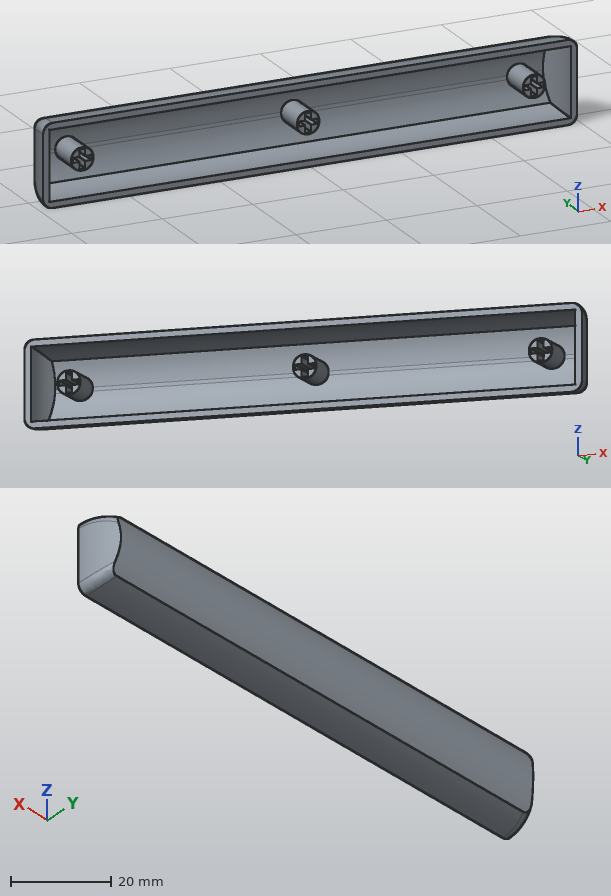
import cadquery as cq
import math

LENGTH = 118.1
DEPTH = 9.6
HEIGHT = 18.1
SIDE_RADIUS = 18.1
CORNER_RADIUS = 2.1
WALL = 1.4

CROWN_RADIUS = 17.1
CROWN_Z = 0.8
ROOF = 1.3

STRIP_TOP = 0.2
STRIP_BOTTOM = -0.6

STEM_DIAMETER = 5.0
STEM_PITCH = 50.0
STEM_COUNT = 3
STEM_Z = 0.0
STEM_TIP_Y = 1.0
SLOT_LENGTH = 4.1
SLOT_WIDE = 1.3
SLOT_NARROW = 1.1

CROWN_CENTER_Y = DEPTH - CROWN_RADIUS
CEILING_RADIUS = CROWN_RADIUS - ROOF


def bulged_profile(plane, half_width, radius):
    """Section with two bulging sides that lean inward as Y grows."""
    def side(y):
        return half_width - radius + math.sqrt(radius**2 - y**2)

    return (
        cq.Workplane(plane)
        .moveTo(-half_width, 0)
        .threePointArc((-side(DEPTH / 2), DEPTH / 2), (-side(DEPTH), DEPTH))
        .lineTo(side(DEPTH), DEPTH)
        .threePointArc((side(DEPTH / 2), DEPTH / 2), (half_width, 0))
        .close()
    )


def bulged_block(inset):
    """Block with four bulging sides, moved inward from the outer sides by inset."""
    radius = SIDE_RADIUS - inset
    along = bulged_profile("XY", LENGTH / 2 - inset, radius).extrude(HEIGHT, both=True)
    across = bulged_profile("ZY", HEIGHT / 2 - inset, radius).extrude(LENGTH, both=True)
    return along.intersect(across)


def ceiling_y(z):
    return CROWN_CENTER_Y + math.sqrt(CEILING_RADIUS**2 - (z - CROWN_Z) ** 2)


def ceiling_point(z):
    return (z, ceiling_y(z))


def under_ceiling():
    """Everything in front of the ceiling: two arcs joined by the flat strip."""
    edge = HEIGHT / 2
    return (
        cq.Workplane("ZY")
        .moveTo(-edge, 0)
        .lineTo(*ceiling_point(-edge))
        .threePointArc(ceiling_point((STRIP_BOTTOM - edge) / 2), ceiling_point(STRIP_BOTTOM))
        .lineTo(*ceiling_point(STRIP_TOP))
        .threePointArc(ceiling_point((STRIP_TOP + edge) / 2), ceiling_point(edge))
        .lineTo(edge, 0)
        .close()
        .extrude(LENGTH, both=True)
    )


def make_cavity():
    return bulged_block(WALL).intersect(under_ceiling())


def make_cap(cavity):
    corner_edges = cq.selectors.BoxSelector(
        (-LENGTH, DEPTH / 4, -HEIGHT), (LENGTH, DEPTH * 3 / 4, HEIGHT)
    )
    crown = (
        cq.Workplane("YZ")
        .center(CROWN_CENTER_Y, CROWN_Z)
        .circle(CROWN_RADIUS)
        .extrude(LENGTH, both=True)
    )
    outer = bulged_block(0).edges(corner_edges).fillet(CORNER_RADIUS)
    return outer.intersect(crown).cut(cavity)


def make_stem(x, cavity):
    """Round stem with a cross socket through it; its root follows the ceiling."""
    tip = cq.Workplane("XZ", origin=(x, STEM_TIP_Y, STEM_Z))
    post = tip.circle(STEM_DIAMETER / 2).extrude(-DEPTH).intersect(cavity)
    upright = tip.rect(SLOT_WIDE, SLOT_LENGTH).extrude(-DEPTH)
    level = tip.rect(SLOT_LENGTH, SLOT_NARROW).extrude(-DEPTH)
    return post.cut(upright).cut(level)


cavity = make_cavity()
cap = make_cap(cavity)
stems = []
for index in range(STEM_COUNT):
    stem_x = (index - (STEM_COUNT - 1) / 2) * STEM_PITCH
    stems.append(make_stem(stem_x, cavity).val())

result = cq.Compound.makeCompound([cap.val(), *stems])